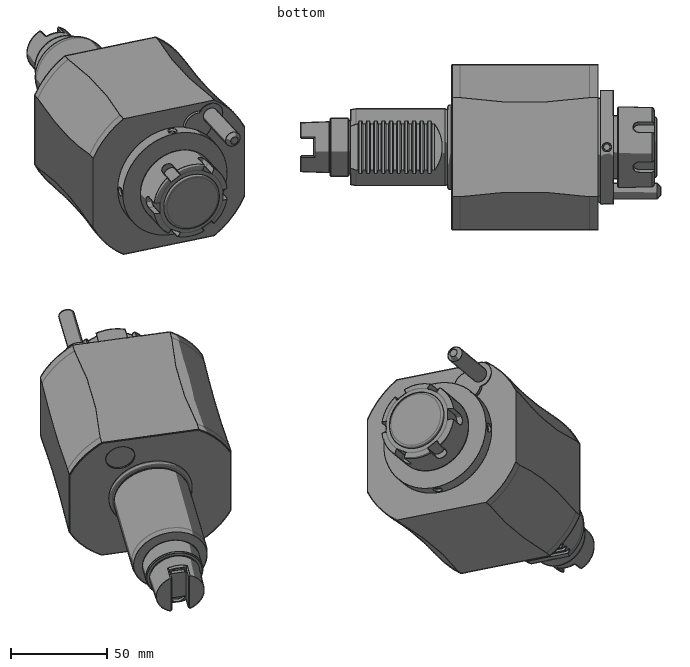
import cadquery as cq
import math


TANG_TIP_RADIUS = 12.7
TANG_RADIUS = 13.3
TANG_END = 14.8
RELIEF_RADIUS = 12.7
SLOT_WIDTH = 8.8
SLOT_DEPTH = 6.5
MOUTH_CHAMFER = 0.5
RIM_CHAMFER = 1.0
POCKET_LENGTH = 23.6
POCKET_WIDTH = 7.9
POCKET_DEPTH = 1.9
POCKET_SPACING = 17.2

COLLAR_START = 15.2
COLLAR_END = 25.1
COLLAR_RADIUS = 15.2
COLLAR_CHAMFER = 0.5
NECK_RADIUS = 13.9

SHANK_START = 26.0
SHANK_RADIUS = 20.0
LEAD_LENGTH = 2.8
LEAD_DROP = 0.5
SHANK_END = 75.1
UNDERCUT_RADIUS = 19.5
FLAT_HEIGHT = 16.1
FLAT_END = 69.7
TOOTH_COUNT = 10
TOOTH_PITCH = 3.99
FIRST_GROOVE = 31.1
GROOVE_DEPTH = 1.5
GROOVE_MOUTH = 2.6
GROOVE_ROOT = 1.3

SEAT_START = 76.5
SEAT_RADIUS = 22.1
SEAT_ROUND = 1.5

BODY_START = 78.5
BODY_END = 154.7
BODY_WIDTH = 86.0
BODY_HEIGHT = 80.0
BODY_RADIUS = 47.5
WAIST_RADIUS = 46.3
LAND_LENGTH = 4.5
BODY_CHAMFER = 0.4

PLUG_Y = 16.0
PLUG_Z = 27.7
PLUG_RADIUS = 7.7
PLUG_RECESS = 1.0
PLUG_RAISE = 1.9

PIN_Y = 22.9
PIN_Z = 32.6
PIN_RADIUS = 4.1
PIN_TIP_RADIUS = 2.0
PIN_TIP_LENGTH = 1.9
PIN_END = 187.3
FOOT_BASE_RADIUS = 5.5
FOOT_RADIUS = 7.0
FOOT_LENGTH = 1.9

PAD_RADIUS = 25.5
FLANGE_START = 155.9
FLANGE_END = 162.6
FLANGE_RADIUS = 29.6
SCREW_COUNT = 4
SCREW_MOUTH_RADIUS = 2.5
SCREW_RADIUS = 1.7
SCREW_DEPTH = 1.1

NUT_NECK_RADIUS = 16.5
NUT_START = 164.9
NUT_RADIUS = 21.0
NUT_CHAMFER = 0.5
NUT_ROUND_START = 182.8
NUT_SHOULDER = 184.0
NUT_SHOULDER_RADIUS = 18.0
NUT_END = 185.3
NUT_FACE_RADIUS = 15.7
WRENCH_COUNT = 6
WRENCH_WIDTH = 6.2
WRENCH_START = 173.0
WRENCH_FLOOR_RADIUS = 17.8

OVERLAP = 1.0


def turn(points):
    """Turn an outline of (x, radius) points, closed along the X axis, about that axis."""
    first_x = points[0][0]
    last_x = points[-1][0]
    outline = cq.Workplane("XY").polyline([(first_x, 0), *points, (last_x, 0)]).close()
    return outline.revolve(360, (0, 0, 0), (1, 0, 0))


def rod(start, end, radius, y=0, z=0):
    """Cylinder along X between two X positions."""
    return cq.Workplane("YZ", origin=(start, y, z)).circle(radius).extrude(end - start)


def make_tang():
    """Tapered tang slotted across its end, with bevelled slot edges and a pocket near each end."""
    slot = cq.Workplane("XY").box(2 * SLOT_DEPTH, SLOT_WIDTH, 4 * TANG_RADIUS)
    tang = turn([(0, TANG_TIP_RADIUS), (TANG_END, TANG_RADIUS)]).cut(slot)
    around_slot = cq.selectors.BoxSelector(
        (-OVERLAP, -SLOT_WIDTH, -TANG_RADIUS - OVERLAP),
        (SLOT_DEPTH + OVERLAP, SLOT_WIDTH, TANG_RADIUS + OVERLAP),
    )
    tang = tang.edges(around_slot).edges("not |Z").chamfer(RIM_CHAMFER)
    tang = tang.edges(around_slot).edges("|Z and <X").chamfer(MOUTH_CHAMFER)
    middle = cq.Workplane("XY", origin=(SLOT_DEPTH, 0, 0)).box(4 * POCKET_DEPTH, SLOT_WIDTH, POCKET_SPACING)
    pockets = (
        cq.Workplane("YZ", origin=(SLOT_DEPTH, 0, 0))
        .slot2D(POCKET_LENGTH, POCKET_WIDTH, 90)
        .extrude(POCKET_DEPTH)
        .cut(middle)
    )
    return tang.cut(pockets)


def make_shank_core():
    """Relief, collar, neck, shank and undercut, turned as one piece."""
    return turn([
        (TANG_END - OVERLAP, RELIEF_RADIUS),
        (COLLAR_START, RELIEF_RADIUS),
        (COLLAR_START, COLLAR_RADIUS - COLLAR_CHAMFER),
        (COLLAR_START + COLLAR_CHAMFER, COLLAR_RADIUS),
        (COLLAR_END - COLLAR_CHAMFER, COLLAR_RADIUS),
        (COLLAR_END, COLLAR_RADIUS - COLLAR_CHAMFER),
        (COLLAR_END, NECK_RADIUS),
        (SHANK_START, NECK_RADIUS),
        (SHANK_START, SHANK_RADIUS - LEAD_DROP),
        (SHANK_START + LEAD_LENGTH, SHANK_RADIUS),
        (SHANK_END, SHANK_RADIUS),
        (SEAT_START, UNDERCUT_RADIUS),
        (BODY_START + OVERLAP, UNDERCUT_RADIUS),
    ])


def cut_toothed_flat(shank):
    """Mill the flat along the underside, run it out at 45 degrees and groove its teeth."""
    deep = 2 * SHANK_RADIUS
    drop = deep - FLAT_HEIGHT
    flat = (
        cq.Workplane("XZ")
        .polyline([
            (SHANK_START, -FLAT_HEIGHT),
            (FLAT_END, -FLAT_HEIGHT),
            (FLAT_END + drop, -deep),
            (SHANK_START, -deep),
        ])
        .close()
        .extrude(SHANK_RADIUS, both=True)
    )
    shank = shank.cut(flat)
    groove = (
        cq.Workplane("XZ")
        .polyline([
            (-GROOVE_MOUTH / 2, -FLAT_HEIGHT),
            (-GROOVE_ROOT / 2, GROOVE_DEPTH - FLAT_HEIGHT),
            (GROOVE_ROOT / 2, GROOVE_DEPTH - FLAT_HEIGHT),
            (GROOVE_MOUTH / 2, -FLAT_HEIGHT),
        ])
        .close()
        .extrude(SHANK_RADIUS, both=True)
    )
    for index in range(TOOTH_COUNT):
        shank = shank.cut(groove.translate((FIRST_GROOVE + index * TOOTH_PITCH, 0, 0)))
    return shank


def make_seat_ring():
    return rod(SEAT_START, BODY_START + OVERLAP, SEAT_RADIUS).faces("<X").edges().fillet(SEAT_ROUND)


def make_body():
    """Round bar with a shallow waist between two lands, flattened on four sides."""
    middle = (BODY_START + BODY_END) / 2
    bar = (
        cq.Workplane("XY")
        .moveTo(BODY_START, 0)
        .lineTo(BODY_START, BODY_RADIUS)
        .lineTo(BODY_START + LAND_LENGTH, BODY_RADIUS)
        .threePointArc((middle, WAIST_RADIUS), (BODY_END - LAND_LENGTH, BODY_RADIUS))
        .lineTo(BODY_END, BODY_RADIUS)
        .lineTo(BODY_END, 0)
        .close()
        .revolve(360, (0, 0, 0), (1, 0, 0))
    )
    block = cq.Workplane("XY", origin=(middle, 0, 0)).box(BODY_END - BODY_START, BODY_WIDTH, BODY_HEIGHT)
    body = bar.intersect(block).faces("<X").edges().chamfer(BODY_CHAMFER)
    return body.cut(rod(BODY_START, BODY_START + PLUG_RECESS, PLUG_RADIUS, PLUG_Y, PLUG_Z))


def make_plug():
    return rod(BODY_END - OVERLAP, BODY_END + PLUG_RAISE, PLUG_RADIUS, PLUG_Y, PLUG_Z)


def make_pin():
    pin = turn([
        (BODY_END - OVERLAP, FOOT_BASE_RADIUS),
        (BODY_END, FOOT_BASE_RADIUS),
        (BODY_END + FOOT_LENGTH, FOOT_RADIUS),
        (BODY_END + FOOT_LENGTH, PIN_RADIUS),
        (PIN_END - PIN_TIP_LENGTH, PIN_RADIUS),
        (PIN_END, PIN_TIP_RADIUS),
    ])
    return pin.translate((0, PIN_Y, PIN_Z))


def make_flange():
    """Disc on a thin pad, with countersunk set screw holes around its rim."""
    pad = rod(BODY_END - OVERLAP, FLANGE_START + OVERLAP, PAD_RADIUS)
    flange = rod(FLANGE_START, FLANGE_END, FLANGE_RADIUS).union(pad)
    hole = (
        cq.Workplane("XY", origin=((FLANGE_START + FLANGE_END) / 2, 0, FLANGE_RADIUS - SCREW_DEPTH))
        .circle(SCREW_RADIUS)
        .workplane(offset=SCREW_DEPTH)
        .circle(SCREW_MOUTH_RADIUS)
        .loft()
    )
    for index in range(SCREW_COUNT):
        flange = flange.cut(hole.rotate((0, 0, 0), (1, 0, 0), index * 360 / SCREW_COUNT))
    return flange


def make_nut():
    """Nut with a rounded front edge and round-ended wrench slots open to the front."""
    round_mid_x = NUT_ROUND_START + (NUT_SHOULDER - NUT_ROUND_START) * math.sin(math.pi / 4)
    round_mid_radius = NUT_SHOULDER_RADIUS + (NUT_RADIUS - NUT_SHOULDER_RADIUS) * math.cos(math.pi / 4)
    rim_round = NUT_END - NUT_SHOULDER
    nut = (
        cq.Workplane("XY")
        .moveTo(FLANGE_END - OVERLAP, 0)
        .lineTo(FLANGE_END - OVERLAP, NUT_NECK_RADIUS)
        .lineTo(NUT_START, NUT_NECK_RADIUS)
        .lineTo(NUT_START, NUT_RADIUS - NUT_CHAMFER)
        .lineTo(NUT_START + NUT_CHAMFER, NUT_RADIUS)
        .lineTo(NUT_ROUND_START, NUT_RADIUS)
        .threePointArc((round_mid_x, round_mid_radius), (NUT_SHOULDER, NUT_SHOULDER_RADIUS))
        .lineTo(NUT_SHOULDER, NUT_FACE_RADIUS)
        .radiusArc((NUT_END, NUT_FACE_RADIUS - rim_round), rim_round)
        .lineTo(NUT_END, 0)
        .close()
        .revolve(360, (0, 0, 0), (1, 0, 0))
    )
    half = WRENCH_WIDTH / 2
    straight_start = WRENCH_START + half
    slot = (
        cq.Workplane("XZ", origin=(0, -WRENCH_FLOOR_RADIUS, 0))
        .moveTo(NUT_END, half)
        .lineTo(straight_start, half)
        .threePointArc((WRENCH_START, 0), (straight_start, -half))
        .lineTo(NUT_END, -half)
        .close()
        .extrude(NUT_RADIUS)
    )
    for index in range(WRENCH_COUNT):
        nut = nut.cut(slot.rotate((0, 0, 0), (1, 0, 0), index * 360 / WRENCH_COUNT))
    return nut


shank = cut_toothed_flat(make_shank_core())
result = make_tang().union(shank).union(make_seat_ring()).union(make_body())
result = result.union(make_flange()).union(make_plug()).union(make_pin()).union(make_nut())